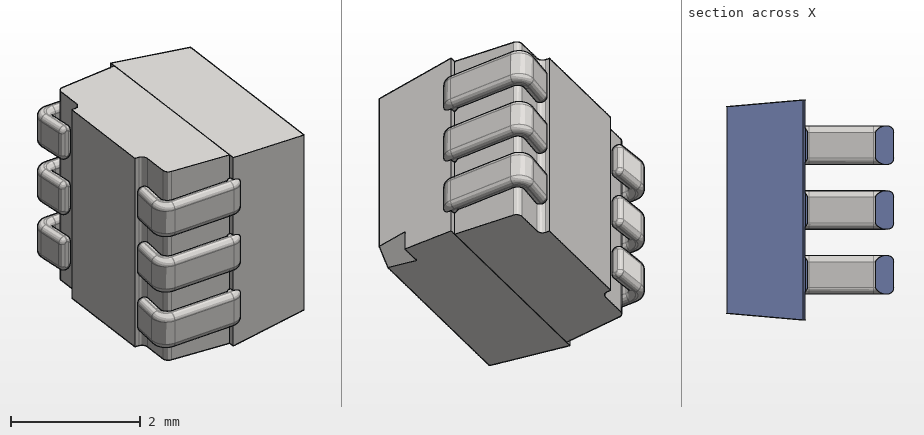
import cadquery as cq
import math


length = 3.4
draft_angle = 5.0
draft_slope = math.tan(math.radians(draft_angle))

cover_width = 3.4
cover_height = 1.4
mark_leg = 0.25
mark_depth = 0.5

base_width = 3.2
ledge_depth = 1.115
standoff_depth = 1.275
standoff_width = 1.75
base_corner_radius = 0.1
edge_search_margin = 0.01

lead_span = 3.62
lead_thickness = 0.21
lead_width = 0.6
lead_pitch = 1.0
leads_per_side = 3
lead_top = 0.17
lead_embed = 0.1
foot_corner_depth = 1.43
foot_tip_x = 1.03
shoulder_outer_radius = 0.23
shoulder_inner_radius = 0.05
heel_outer_radius = 0.25
heel_inner_radius = 0.1
lead_edge_radius = 0.1
tip_edge_radius = 0.07


def make_cover_block():
    """Square block that tapers on all four sides, with its far face at full height."""
    return (
        cq.Workplane("XZ")
        .rect(cover_width, length)
        .extrude(-cover_height, taper=draft_angle)
    )


def make_orientation_mark():
    """Triangular prism that chamfers the -X, -Z corner of the cover's far end."""
    shrink = cover_height * draft_slope
    corner_x = -cover_width / 2 + shrink
    corner_z = -length / 2 + shrink
    reach = shrink + mark_leg
    return (
        cq.Workplane("XZ", origin=(0, cover_height, 0))
        .moveTo(corner_x - reach, corner_z + mark_leg + reach)
        .lineTo(corner_x + mark_leg + reach, corner_z - reach)
        .lineTo(corner_x - reach, corner_z - reach)
        .close()
        .extrude(mark_depth)
    )


def make_base():
    """Drafted profile with a central standoff between two ledges, constant along Z."""
    half_top = base_width / 2
    half_ledge = half_top - ledge_depth * draft_slope
    half_standoff = standoff_width / 2
    half_standoff_root = half_standoff + (standoff_depth - ledge_depth) * draft_slope
    right_side = [
        (half_top, 0),
        (half_ledge, -ledge_depth),
        (half_standoff_root, -ledge_depth),
        (half_standoff, -standoff_depth),
    ]
    left_side = [(-x, y) for x, y in reversed(right_side)]
    block = (
        cq.Workplane("XY")
        .polyline(right_side + left_side)
        .close()
        .extrude(length / 2, both=True)
    )
    ledge_edges = cq.selectors.BoxSelector(
        (-half_top, -ledge_depth - edge_search_margin, -length),
        (half_top, -ledge_depth + edge_search_margin, length),
    )
    return block.edges("|Z").edges(ledge_edges).fillet(base_corner_radius)


def round_corner(body, corner, radius):
    """Round the edge along Z that passes through the given XY point."""
    edge = cq.selectors.NearestToPointSelector((corner[0], corner[1], 0))
    return body.edges("|Z").edges(edge).fillet(radius)


def make_lead():
    """Lead on the -X side, centred on Z = 0: shoulder, straight leg and raised foot."""
    outer_x = -lead_span / 2
    inner_x = outer_x + lead_thickness
    root_x = inner_x + lead_embed

    foot_dx = math.cos(math.radians(draft_angle))
    foot_dy = math.sin(math.radians(draft_angle))
    foot_length = (-foot_tip_x - outer_x) / foot_dx
    heel_outer = (outer_x, -foot_corner_depth)
    tip_lower = (
        heel_outer[0] + foot_length * foot_dx,
        heel_outer[1] + foot_length * foot_dy,
    )
    tip_upper = (
        tip_lower[0] - lead_thickness * foot_dy,
        tip_lower[1] + lead_thickness * foot_dx,
    )
    heel_inner = (inner_x, tip_upper[1] - (tip_upper[0] - inner_x) * draft_slope)
    shoulder_inner = (inner_x, lead_top - lead_thickness)
    shoulder_outer = (outer_x, lead_top)

    lead = (
        cq.Workplane("XY")
        .polyline([
            shoulder_outer,
            heel_outer,
            tip_lower,
            tip_upper,
            heel_inner,
            shoulder_inner,
            (root_x, lead_top - lead_thickness),
            (root_x, lead_top),
        ])
        .close()
        .extrude(lead_width / 2, both=True)
    )
    lead = round_corner(lead, shoulder_outer, shoulder_outer_radius)
    lead = round_corner(lead, heel_outer, heel_outer_radius)
    lead = round_corner(lead, shoulder_inner, shoulder_inner_radius)
    lead = round_corner(lead, heel_inner, heel_inner_radius)

    tip_middle = ((tip_lower[0] + tip_upper[0]) / 2, (tip_lower[1] + tip_upper[1]) / 2, 0)
    root_middle = (root_x, lead_top - lead_thickness / 2, 0)
    tip_face = cq.selectors.NearestToPointSelector(tip_middle)
    root_face = cq.selectors.NearestToPointSelector(root_middle)
    end_edges = lead.faces(tip_face).edges().vals() + lead.faces(root_face).edges().vals()
    side_edges = [
        edge
        for edge in lead.faces("|Z").edges().vals()
        if not any(edge.isSame(end_edge) for end_edge in end_edges)
    ]
    lead = lead.newObject(side_edges).fillet(lead_edge_radius)
    return lead.faces(tip_face).edges().fillet(tip_edge_radius)


def add_leads(cover, base):
    """Join both rows of leads to the cover, trimmed where they meet the base."""
    left_lead = make_lead()
    right_lead = left_lead.mirror("YZ")
    for index in range(leads_per_side):
        z = (index - (leads_per_side - 1) / 2) * lead_pitch
        for lead in (left_lead, right_lead):
            cover = cover.union(lead.translate((0, 0, z)))
    return cover.cut(base)


base = make_base()
cover = add_leads(make_cover_block().cut(make_orientation_mark()), base)

result = cq.Compound.makeCompound([cover.solids().val(), base.val()])